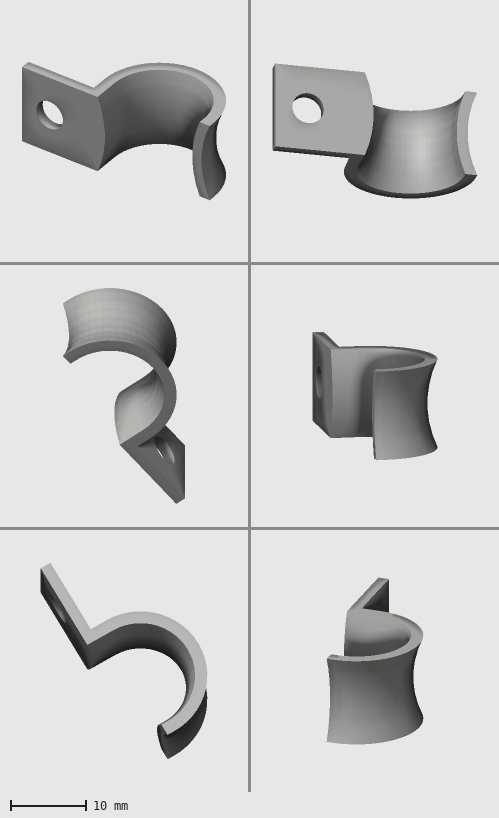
import cadquery as cq
import math

length = 28.35
width = 12.0
thickness = 1.5
rim_outer_radius = 8.87
waist_outer_radius = 7.55
leg_drop = 3.97
tip_drop = 1.02
hole_diameter = 4.3
hole_edge_distance = 4.48

half_width = width / 2
sag = rim_outer_radius - waist_outer_radius
outer_arc_radius = (half_width**2 + sag**2) / (2 * sag)
inner_arc_radius = outer_arc_radius + thickness
arc_centre = waist_outer_radius + outer_arc_radius
waist_inner_radius = arc_centre - inner_arc_radius
rim_inner_radius = arc_centre - math.sqrt(inner_arc_radius**2 - half_width**2)

plate_left = rim_outer_radius - length


def strap_section(side):
    """Curved strap section in the XZ plane; side is -1 (left) or 1 (right)."""
    return (
        cq.Workplane("XZ")
        .moveTo(side * rim_inner_radius, -half_width)
        .threePointArc((side * waist_inner_radius, 0), (side * rim_inner_radius, half_width))
        .lineTo(side * rim_outer_radius, half_width)
        .threePointArc((side * waist_outer_radius, 0), (side * rim_outer_radius, -half_width))
        .close()
    )


def mounting_plate():
    """Flat plate with a screw hole, reaching into the wall of the leg."""
    plate_length = -rim_inner_radius - plate_left
    plate = cq.Workplane("XY").box(plate_length, thickness, width, centered=(False, False, True))
    plate = plate.translate((plate_left, -leg_drop, 0))
    hole = (
        cq.Workplane("XZ", origin=(0, -leg_drop, 0))
        .center(plate_left + hole_edge_distance, 0)
        .circle(hole_diameter / 2)
        .extrude(-thickness)
    )
    return plate.cut(hole)


half_ring = strap_section(1).revolve(180, (0, 0, 0), (0, 1, 0))
left_leg = strap_section(-1).extrude(leg_drop)
right_tip = strap_section(1).extrude(tip_drop)

result = half_ring.union(left_leg).union(right_tip).union(mounting_plate())